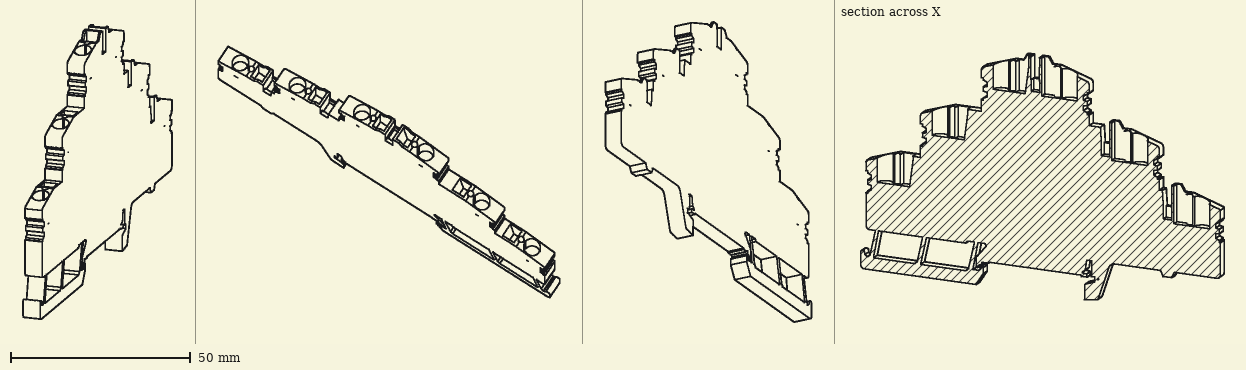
import cadquery as cq
import math

length = 110.2
thickness = 5.1

level_pitch = 16.0
top_height = 69.0
level_tops = [top_height - level_pitch * step for step in (2, 1, 0)]
left_faces = [-0.3, 18.6, 40.1]
right_faces = [108.6, 91.9, 73.3]
body_start = 0.0
body_end = 108.5
body_base = 11.7

shoulder_drop = 2.0
shoulder_inset = 9.7
slope = math.tan(math.radians(18))
corner_drop = shoulder_drop + shoulder_inset * slope
corner_radius = 1.2
base_radius = 1.3

tab_foot = 12.1
tab_start = 13.3
tab_end = 15.3
slot_depth = 6.7
slot_floor_width = 2.4
slot_wall_lean = 0.3
ledge_drop = 1.8

groove_drop = 11.5
groove_half = 3.2
groove_depth = 1.8
groove_floor_half = 2.1
groove_lip_depth = 0.7
groove_lip_half = 2.6
rib_root_half = 0.9
rib_tip_half = 0.7
rib_setback = 0.7

bore_inset = 6.1
bore_radius = 2.3
pin_radius = 0.83
slit_width = 0.4
opening_depth = 11.0
pocket_start = 10.8
pocket_end = 14.5
pocket_ramp_run = 1.1
pocket_ramp_drop = 2.9
pocket_left = -1.9
slot_well_left = -1.5
opening_right = 2.1
slot_well_extra = 3.3

rail_seat = 7.0
seat_lip_height = 6.7
relief_height = 12.3

hook_tip = (41.6, 4.6)
hook_tip_radius = 0.8
hook_toe = (37.5, 0.5)
hook_toe_radius = 0.9
hook_root = (33.7, body_base)
hook_root_radius = 1.9

foot_floor = 3.7
leg_overlap = 1.1
gusset_height = 0.8
gusset_reach = 0.5
foot_tip_start = 108.7
foot_tip_height = 5.4
foot_tip_radius = 0.7
foot_heel_radius = 1.2


def plate(points):
    """Extrude a closed outline through the full thickness."""
    plane = cq.Plane(origin=(thickness / 2, length / 2, 0), xDir=(0, -1, 0), normal=(-1, 0, 0))
    return cq.Workplane(plane).polyline(points).close().extrude(thickness)


def round_corner(solid, corner, radius):
    """Fillet the edge that crosses the plate at the given outline corner."""
    along, height = corner
    nearest = cq.selectors.NearestToPointSelector((0, length / 2 - along, height))
    return solid.edges(nearest).fillet(radius)


def block(x_range, along_range, height_range):
    """Box between the given limits across, along and up the plate."""
    size_x = x_range[1] - x_range[0]
    size_y = abs(along_range[1] - along_range[0])
    size_z = height_range[1] - height_range[0]
    center_y = length / 2 - sum(along_range) / 2
    center = (sum(x_range) / 2, center_y, sum(height_range) / 2)
    return cq.Workplane("XY").box(size_x, size_y, size_z).translate(center)


def end_face(face, top, inward):
    """Grooved end face and sloped shoulder, from the bottom groove up to the tab foot."""
    middle = top - groove_drop
    lower_groove = [
        (0, -groove_half),
        (groove_lip_depth, -groove_half),
        (groove_lip_depth, -groove_lip_half),
        (groove_depth, -groove_floor_half),
        (groove_depth, -rib_root_half),
        (rib_setback, -rib_tip_half),
    ]
    upper_groove = [(inset, -offset) for inset, offset in reversed(lower_groove)]
    points = [(face + inward * inset, middle + offset) for inset, offset in lower_groove + upper_groove]
    points.append((face, top - corner_drop))
    points.append((face + inward * shoulder_inset, top - shoulder_drop))
    return points


def tab(face, top, inward):
    """Raised tab at the inner end of a shoulder, up to its slot-side edge."""
    return [
        (face + inward * tab_foot, top - shoulder_drop),
        (face + inward * tab_start, top),
        (face + inward * tab_end, top),
    ]


def left_flank():
    """Outline of the +Y flank, climbing from the base to the top level's tab."""
    points = []
    for index, (face, top) in enumerate(zip(left_faces, level_tops)):
        points += end_face(face, top, 1) + tab(face, top, 1)
        if index < len(left_faces) - 1:
            slot_start = face + tab_end
            slot_end = slot_start + slot_floor_width
            ledge = top - ledge_drop
            points += [
                (slot_start, top - slot_depth),
                (slot_end, top - slot_depth),
                (slot_end + slot_wall_lean, ledge),
                (left_faces[index + 1], ledge),
            ]
    return points


def right_flank():
    """Outline of the -Y flank, climbing from the base to the top level's tab."""
    points = []
    for index, (face, top) in enumerate(zip(right_faces, level_tops)):
        points += end_face(face, top, -1)
        if index < len(right_faces) - 1:
            points.append((right_faces[index + 1], top - shoulder_drop))
    return points + tab(right_faces[-1], top_height, -1)


def underside():
    """Underside from the -Y corner to the +Y corner, with the rail seat and the catch for the foot."""
    return [
        (right_faces[0], body_base),
        (78.0, body_base),
        (77.4, relief_height),
        (72.0, relief_height),
        (71.7, body_base),
        (74.8, 8.2),
        (74.8, 5.1),
        (74.4, 5.1),
        (74.0, 5.7),
        (73.0, 6.2),
        (73.0, rail_seat),
        (72.8, seat_lip_height),
        (71.0, seat_lip_height),
        (70.8, rail_seat),
        (42.7, rail_seat),
        (42.6, seat_lip_height),
        (40.9, seat_lip_height),
        (40.9, 7.7),
        (42.3, 7.9),
        (41.3, 8.8),
        (40.9, body_base),
    ]


def fixed_hook():
    """Rigid hook that catches the +Y edge of the rail."""
    return [
        (39.5, body_base),
        (39.5, rail_seat),
        (38.6, rail_seat),
        (38.6, 5.7),
        hook_tip,
        (hook_tip[0], 0),
        hook_toe,
        hook_root,
    ]


def locating_bump():
    """Small tapered bump under the +Y end."""
    return [(18.4, body_base), (17.6, 10.0), (15.0, 10.0), (14.1, body_base)]


def make_body():
    top_slot_floor = top_height - slot_depth
    top_slot_end = right_faces[-1] - tab_end
    top_slot = [(top_slot_end - slot_floor_width, top_slot_floor), (top_slot_end, top_slot_floor)]
    outline = left_flank() + top_slot + right_flank()[::-1]
    outline += underside() + fixed_hook() + locating_bump() + [(left_faces[0], body_base)]
    body = plate(outline)
    for faces in (left_faces, right_faces):
        for face, top in zip(faces, level_tops):
            body = round_corner(body, (face, top - corner_drop), corner_radius)
    body = round_corner(body, hook_tip, hook_tip_radius)
    body = round_corner(body, hook_toe, hook_toe_radius)
    body = round_corner(body, hook_root, hook_root_radius)
    body = body.intersect(block((-thickness, thickness), (body_start, body_end), (0, top_height)))
    for end in (body_start, body_end):
        body = round_corner(body, (end, body_base), base_radius)
    return body


def leg(top_start, top_end, bottom_start, bottom_end, top):
    """Thin slanted leg with a gusset on its -Y side, overlapping the body above and the foot below."""
    gusset_fraction = gusset_height / (top - foot_floor)
    gusset_top = bottom_end + (top_end - bottom_end) * gusset_fraction
    return plate([
        (top_start, top + leg_overlap),
        (top_end, top + leg_overlap),
        (top_end, top),
        (gusset_top, foot_floor + gusset_height),
        (bottom_end + gusset_reach, foot_floor),
        (bottom_end, foot_floor - leg_overlap),
        (bottom_start, foot_floor - leg_overlap),
        (bottom_start, foot_floor),
        (top_start, top),
    ])


def make_foot():
    foot = plate([
        (72.5, 5.4),
        (73.0, 5.7),
        (73.5, 5.0),
        (73.9, 4.4),
        (77.1, 4.4),
        (77.3, foot_floor),
        (108.1, foot_floor),
        (foot_tip_start, 4.3),
        (foot_tip_start, foot_tip_height),
        (length, foot_tip_height),
        (length, 0),
        (74.8, 0),
        (72.5, 3.6),
    ])
    foot = round_corner(foot, (foot_tip_start, foot_tip_height), foot_tip_radius)
    foot = round_corner(foot, (length, foot_tip_height), foot_tip_radius)
    foot = round_corner(foot, (length, 0), foot_heel_radius)
    foot = foot.union(leg(74.1, 75.3, 75.8, 77.3, relief_height))
    foot = foot.union(leg(89.9, 91.2, 91.7, 93.0, body_base))
    return foot.union(leg(104.5, 105.6, 106.1, 107.4, body_base))


def shoulder_openings(face, top, inward, ramped):
    """Wire bore, pin hole with its slit, and the pocket reaching under the tab."""
    floor = top - opening_depth

    def round_hole(inset, radius):
        center_y = length / 2 - (face + inward * inset)
        return cq.Workplane("XY", origin=(0, center_y, floor)).circle(radius).extrude(opening_depth)

    def cut_block(x_range, start, end):
        return block(x_range, (face + inward * start, face + inward * end), (floor, top))

    slit = cut_block((-slit_width / 2, slit_width / 2), bore_inset, shoulder_inset)
    pocket = cut_block((pocket_left, opening_right), pocket_start, pocket_end)
    if ramped:
        ramp_top = face + inward * pocket_end
        ramp = plate([
            (ramp_top, top - pocket_ramp_drop),
            (ramp_top, floor),
            (ramp_top - inward * pocket_ramp_run, floor),
        ])
        pocket = pocket.cut(ramp)
    holes = round_hole(bore_inset, bore_radius).union(round_hole(shoulder_inset, pin_radius))
    return holes.union(slit).union(pocket)


def slot_well(face, top):
    """Deeper well in the floor of the slot beside a left-hand tab."""
    start = face + tab_end
    floor = top - slot_depth
    return block(
        (slot_well_left, opening_right),
        (start, start + slot_floor_width),
        (floor - slot_well_extra, floor),
    )


result = make_body().union(make_foot())
for face, top in zip(left_faces, level_tops):
    result = result.cut(shoulder_openings(face, top, 1, False))
    result = result.cut(slot_well(face, top))
for face, top in zip(right_faces, level_tops):
    result = result.cut(shoulder_openings(face, top, -1, True))